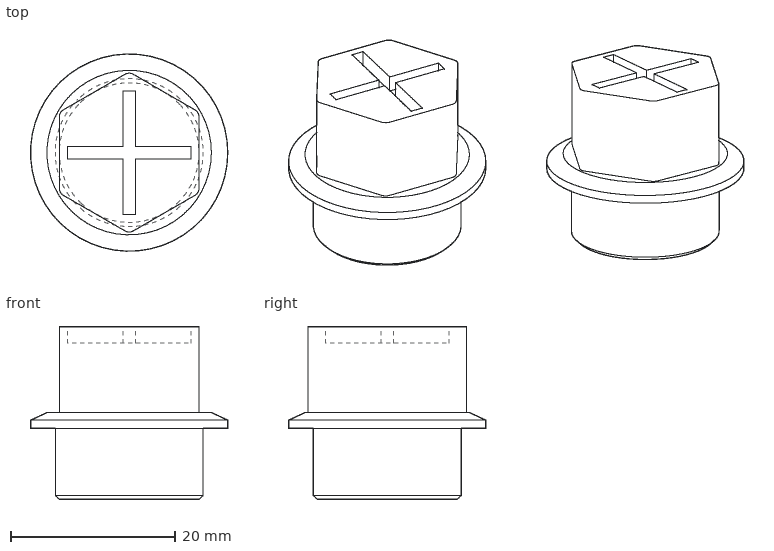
import cadquery as cq

plug_diameter = 18.0
plug_height = 8.65
plug_chamfer = 0.5

flange_diameter = 24.0
flange_top_diameter = 20.0
flange_rim_height = 1.0
flange_cone_height = 0.94

total_height = 21.0
hex_across_flats = 17.0
hex_corner_radius = 1.0
slot_length = 15.0
slot_width = 1.5
slot_depth = 2.0

rim_top = plug_height + flange_rim_height
flange_top = rim_top + flange_cone_height
head_height = total_height - flange_top


def make_turned_body():
    """Revolve the plug and flange about the Z axis."""
    plug_radius = plug_diameter / 2
    flange_radius = flange_diameter / 2
    profile = [
        (0, 0),
        (plug_radius - plug_chamfer, 0),
        (plug_radius, plug_chamfer),
        (plug_radius, plug_height),
        (flange_radius, plug_height),
        (flange_radius, rim_top),
        (flange_top_diameter / 2, flange_top),
        (0, flange_top),
    ]
    return cq.Workplane("XZ").polyline(profile).close().revolve(360, (0, 0), (0, 1))


def make_hex_head():
    """Intersect three slabs into a hexagon with corners on the Y axis, then round its edges."""
    slab = cq.Workplane("XY").workplane(offset=flange_top).rect(
        hex_across_flats, 2 * hex_across_flats
    ).extrude(head_height)
    head = slab
    for angle in (60, 120):
        head = head.intersect(slab.rotate((0, 0, 0), (0, 0, 1), angle))
    return head.edges("|Z").fillet(hex_corner_radius)


def make_cross_slot():
    """Two crossed bars that reach down from the top of the head."""
    floor = cq.Workplane("XY").workplane(offset=total_height - slot_depth)
    bar_x = floor.rect(slot_length, slot_width).extrude(slot_depth)
    bar_y = floor.rect(slot_width, slot_length).extrude(slot_depth)
    return bar_x.union(bar_y)


result = make_turned_body().union(make_hex_head()).cut(make_cross_slot())